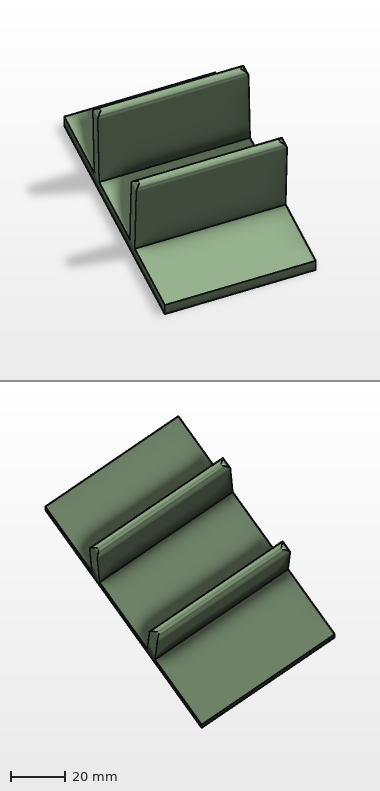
import cadquery as cq
import math

length = 101.0
width = 60.0
height = 39.9
base_thickness = 5.0

fin_thickness = 4.9
fin_root_x = 17.9
lean_angle = 2.5
tip_radius = fin_thickness / 2

root_embed = base_thickness / 2
tip_center_rise = (height - tip_radius - base_thickness) / math.cos(math.radians(lean_angle))
fin_rise = tip_center_rise + tip_radius


def make_base():
    return cq.Workplane("XY").box(length, width, base_thickness, centered=(True, True, False))


def make_upright_fin():
    """Fin with a fully rounded tip and rounded upper end corners, mitred together."""
    rounded_section = (
        cq.Workplane("XZ")
        .moveTo(-tip_radius, -root_embed)
        .lineTo(-tip_radius, tip_center_rise)
        .threePointArc((0, fin_rise), (tip_radius, tip_center_rise))
        .lineTo(tip_radius, -root_embed)
        .close()
        .extrude(width / 2, both=True)
    )
    rounded_side = (
        cq.Workplane("XY")
        .workplane(offset=-root_embed)
        .rect(fin_thickness, width)
        .extrude(fin_rise + root_embed)
        .edges("|X and >Z")
        .fillet(tip_radius)
    )
    return rounded_section.intersect(rounded_side)


def make_fin(side):
    """Place a fin on the given side (-1 or +1), leaning outwards."""
    return (
        make_upright_fin()
        .rotate((0, 0, 0), (0, 1, 0), side * lean_angle)
        .translate((side * fin_root_x, 0, base_thickness))
    )


result = make_base()
for side in (-1, 1):
    result = result.union(make_fin(side))